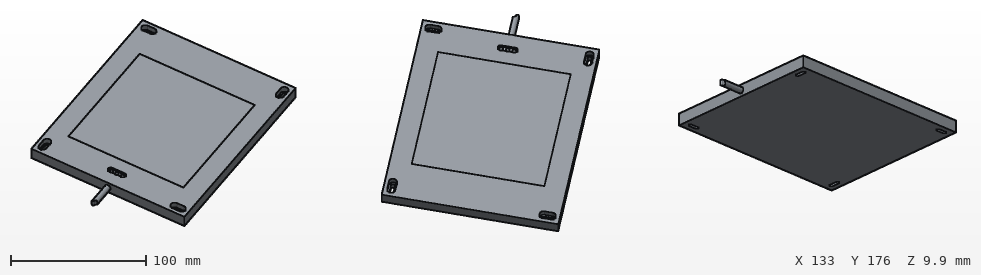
import cadquery as cq

plate_width = 133.0
overall_length = 176.0
plate_thickness = 9.9
cable_length = 19.9
plate_length = overall_length - cable_length

window_side = 100.0
window_front_margin = 25.3
window_depth = 0.2

slot_width = 3.0
slot_shoulder = 1.5
slot_length = 9.2
counterbore_width = slot_width + 2 * slot_shoulder
counterbore_length = slot_length + 2 * slot_shoulder
counterbore_depth = 5.0
corner_margin = 3.0

lamp_count = 3
lamp_diameter = 3.0
lamp_pitch = 5.0
lamp_row_y = 12.7
lamp_recess_width = 4.4
lamp_recess_length = 15.1
lamp_recess_depth = 1.5

cable_diameter = 5.0
break_wave_height = 1.0


def plate():
    return cq.Workplane("XY").box(
        plate_width, plate_length, plate_thickness, centered=(True, False, False)
    )


def window_recess():
    window_center_y = window_front_margin + window_side / 2
    return (
        cq.Workplane("XY", origin=(0, window_center_y, plate_thickness - window_depth))
        .rect(window_side, window_side)
        .extrude(window_depth)
    )


def slot_cut(x, y, length, width, depth, angle):
    """Round-ended cut of the given depth below the top face."""
    return (
        cq.Workplane("XY", origin=(x, y, plate_thickness - depth))
        .slot2D(length, width, angle)
        .extrude(depth)
    )


def mounting_slot(x_side, y_side):
    """Counterbored slot; opposite corners share one direction."""
    along_margin = corner_margin + counterbore_length / 2
    across_margin = corner_margin + counterbore_width / 2
    if x_side == y_side:
        angle, x_margin, y_margin = 90, across_margin, along_margin
    else:
        angle, x_margin, y_margin = 0, along_margin, across_margin
    x = x_side * (plate_width / 2 - x_margin)
    y = plate_length / 2 + y_side * (plate_length / 2 - y_margin)
    through = slot_cut(x, y, slot_length, slot_width, plate_thickness, angle)
    counterbore = slot_cut(x, y, counterbore_length, counterbore_width, counterbore_depth, angle)
    return through.union(counterbore)


def lamp(index):
    """Domed lamp standing on the recess floor."""
    x = (index - (lamp_count - 1) / 2) * lamp_pitch
    floor = plate_thickness - lamp_recess_depth
    return cq.Workplane("XY").sphere(lamp_diameter / 2).translate((x, lamp_row_y, floor))


def cable():
    """Round cable, trimmed by one convex and one concave arc."""
    radius = cable_diameter / 2
    break_y = break_wave_height - cable_length
    rod = (
        cq.Workplane("XZ", origin=(0, 0, plate_thickness / 2))
        .circle(radius)
        .extrude(cable_length)
    )
    trim = (
        cq.Workplane("XY")
        .moveTo(-radius, 0)
        .lineTo(-radius, break_y)
        .threePointArc((-radius / 2, break_y - break_wave_height), (0, break_y))
        .threePointArc((radius / 2, break_y + break_wave_height), (radius, break_y))
        .lineTo(radius, 0)
        .close()
        .extrude(plate_thickness)
    )
    return rod.intersect(trim)


result = plate().cut(window_recess())
for x_side in (-1, 1):
    for y_side in (-1, 1):
        result = result.cut(mounting_slot(x_side, y_side))
result = result.cut(
    slot_cut(0, lamp_row_y, lamp_recess_length, lamp_recess_width, lamp_recess_depth, 0)
)
for index in range(lamp_count):
    result = result.union(lamp(index))
result = result.union(cable())